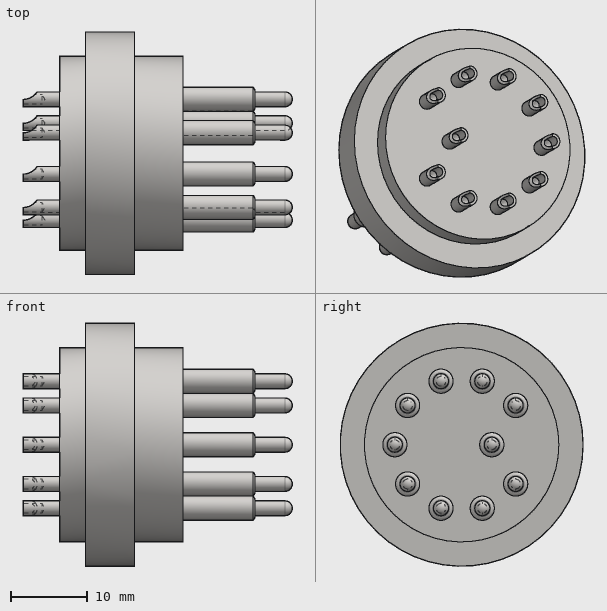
import cadquery as cq
import math

body_diameter = 25.4
flange_diameter = 31.75
body_start = 4.8
flange_start = 8.13
flange_end = 14.55
body_end = 20.9

pin_length = 35.18
pin_diameter = 1.97
pin_radius = pin_diameter / 2

sleeve_diameter = 3.15
sleeve_end = 30.33
sleeve_nose_length = 0.3
sleeve_nose_depth = 0.5
sleeve_nose_radius = 0.77

cup_hole_diameter = 1.25
cup_hole_depth = 2.45
drill_point_angle = 118
scoop_length = 1.83
scoop_radius = (scoop_length**2 + pin_radius**2) / (2 * pin_radius)

contact_count = 10
contact_circle_radius = 8.72
key_contact_radius = 3.95


def contact_positions():
    """(y, z) of each contact, starting with the key contact on +Y."""
    positions = []
    for index in range(contact_count):
        radius = key_contact_radius if index == 0 else contact_circle_radius
        angle = 2 * math.pi * index / contact_count
        positions.append((radius * math.cos(angle), radius * math.sin(angle)))
    return positions


def cylinder(diameter, start, end):
    """Cylinder on the X axis between two stations."""
    return cq.Workplane("YZ").workplane(offset=start).circle(diameter / 2).extrude(end - start)


def make_shell():
    body = cylinder(body_diameter, body_start, body_end)
    return body.union(cylinder(flange_diameter, flange_start, flange_end))


def make_cup_hole():
    """Blind drilled hole with a conical bottom, opening at x = 0."""
    hole_radius = cup_hole_diameter / 2
    point_length = hole_radius / math.tan(math.radians(drill_point_angle / 2))
    return (
        cq.Workplane("XY")
        .moveTo(0, 0)
        .lineTo(0, hole_radius)
        .lineTo(cup_hole_depth, hole_radius)
        .lineTo(cup_hole_depth + point_length, 0)
        .close()
        .revolve(360, (0, 0, 0), (1, 0, 0))
    )


def make_scoop():
    """Concave cut that opens the +Y half of the cup, level with the pin axis at x = 0."""
    return (
        cq.Workplane("XY")
        .workplane(offset=-pin_diameter)
        .center(0, scoop_radius)
        .circle(scoop_radius)
        .extrude(2 * pin_diameter)
    )


def make_pin():
    """Round pin with a hemispherical tip."""
    dome_centre = pin_length - pin_radius
    dome = cq.Workplane("XY").sphere(pin_radius).translate((dome_centre, 0, 0))
    return cylinder(pin_diameter, 0, dome_centre).union(dome)


def make_sleeve():
    """Sleeve with a rounded nose, revolved about the X axis."""
    sleeve_radius = sleeve_diameter / 2
    return (
        cq.Workplane("XY")
        .moveTo(body_end, 0)
        .lineTo(body_end, sleeve_radius)
        .lineTo(sleeve_end - sleeve_nose_length, sleeve_radius)
        .radiusArc((sleeve_end, sleeve_radius - sleeve_nose_depth), sleeve_nose_radius)
        .lineTo(sleeve_end, 0)
        .close()
        .revolve(360, (0, 0, 0), (1, 0, 0))
    )


def make_contact():
    return make_pin().union(make_sleeve()).cut(make_cup_hole()).cut(make_scoop())


contact = make_contact()
result = make_shell()
for y, z in contact_positions():
    result = result.union(contact.translate((0, y, z)))